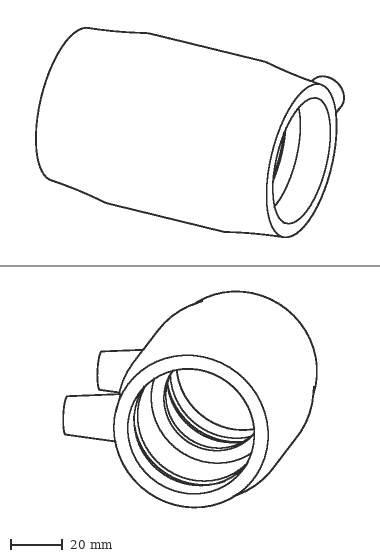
import cadquery as cq
import math

length = 100.0
body_diameter = 68.0
end_diameter = 61.0
shoulder_length = 25.0
shoulder_arc_radius = 200.0

socket_diameter = 50.0
stop_diameter = 40.0
stop_width = 4.0

groove_diameter = 53.0
groove_near_depth = 13.0
groove_far_depth = 20.0

terminal_tip_y = 52.0
terminal_tip_diameter = 15.0
terminal_half_angle = 5.0
terminal_end_offset = 15.0

half_length = length / 2
body_radius = body_diameter / 2
end_radius = end_diameter / 2
body_half_length = half_length - shoulder_length


def make_sleeve():
    """Solid sleeve with concave shoulders that narrow towards both ends."""
    return (
        cq.Workplane("XY")
        .moveTo(-half_length, 0)
        .lineTo(-half_length, end_radius)
        .radiusArc((-body_half_length, body_radius), -shoulder_arc_radius)
        .lineTo(body_half_length, body_radius)
        .radiusArc((half_length, end_radius), -shoulder_arc_radius)
        .lineTo(half_length, 0)
        .close()
        .revolve(360, (0, 0, 0), (1, 0, 0))
    )


def make_terminal(x):
    """Tapered terminal from the sleeve axis out to its flat tip."""
    tip_radius = terminal_tip_diameter / 2
    root_radius = tip_radius + terminal_tip_y * math.tan(math.radians(terminal_half_angle))
    cone = cq.Solid.makeCone(
        root_radius, tip_radius, terminal_tip_y, cq.Vector(x, 0, 0), cq.Vector(0, 1, 0)
    )
    return cq.Workplane(cone)


def make_axial_cylinder(x_start, x_end, diameter):
    """Cylinder on the X axis between two stations."""
    cylinder = cq.Solid.makeCylinder(
        diameter / 2, x_end - x_start, cq.Vector(x_start, 0, 0), cq.Vector(1, 0, 0)
    )
    return cq.Workplane(cylinder)


def make_socket():
    """Void of the socket at the -X end, including its ring groove."""
    bore = make_axial_cylinder(-half_length, -stop_width / 2, socket_diameter)
    groove = make_axial_cylinder(
        -half_length + groove_near_depth, -half_length + groove_far_depth, groove_diameter
    )
    return bore.union(groove)


result = make_sleeve()

terminal_x = half_length - terminal_end_offset
for x in (-terminal_x, terminal_x):
    result = result.union(make_terminal(x))

result = result.cut(make_axial_cylinder(-half_length, half_length, stop_diameter))

socket = make_socket()
result = result.cut(socket).cut(socket.mirror("YZ"))